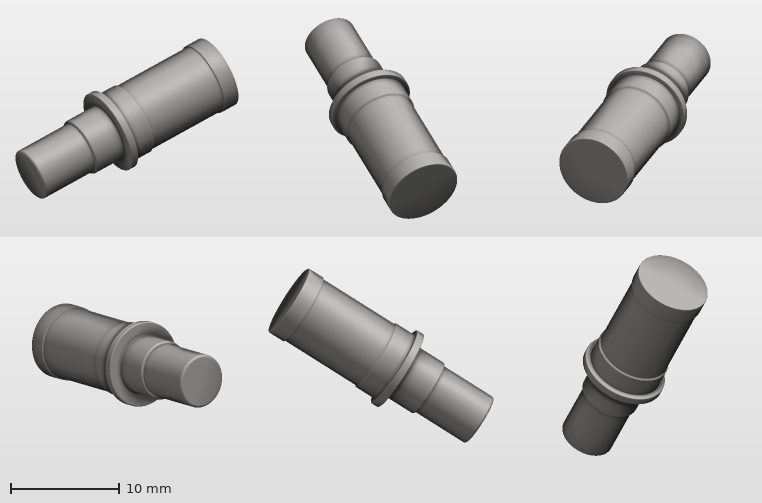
import cadquery as cq
import math


flange_diameter = 7.97
collar_diameter = 6.97
body_diameter = 6.7
shoulder_diameter = 5.5
pin_diameter = 5.0

overall_length = 21.1
flange_thickness = 0.75
shoulder_length = 3.15
pin_length = 5.57
front_collar_length = 2.12
rear_collar_length = 1.6

edge_round = 0.1
pin_tip_round = 0.25
shoulder_round = 0.2
collar_step = (collar_diameter - body_diameter) / 2

tip_y = -shoulder_length - pin_length
rear_y = tip_y + overall_length
front_collar_end = flange_thickness + front_collar_length
rear_collar_start = rear_y - rear_collar_length


def cylinder(diameter, start, end):
    """Solid cylinder about the Y axis between two stations."""
    disc = cq.Workplane("XZ", origin=(0, start, 0)).circle(diameter / 2)
    return disc.extrude(start - end)


def make_flange():
    """Locating flange with both rims slightly rounded."""
    flange = cylinder(flange_diameter, 0, flange_thickness)
    return flange.faces("<Y or >Y").edges().fillet(edge_round)


def make_pin():
    """Front pin with a rounded tip."""
    return cylinder(pin_diameter, tip_y, 0).faces("<Y").edges().fillet(pin_tip_round)


def make_shoulder():
    """Step between pin and flange with a rounded front rim."""
    return cylinder(shoulder_diameter, -shoulder_length, 0).faces("<Y").edges().fillet(shoulder_round)


def make_front_collar():
    """Collar behind the flange, tapering down to the body."""
    collar = cylinder(collar_diameter, flange_thickness, front_collar_end)
    return collar.faces(">Y").edges().chamfer(collar_step)


def make_body():
    """Plain cylinder joining the two collars."""
    return cylinder(body_diameter, flange_thickness, rear_y)


def make_rear_collar():
    """End collar with a rounded rear rim."""
    return cylinder(collar_diameter, rear_collar_start, rear_y).faces(">Y").edges().fillet(edge_round)


def root_ring(diameter, root_y, direction):
    """Concave fillet ring between a cylinder and the step face at root_y.

    direction is +1 when the cylinder leaves the face towards +Y, -1 towards -Y.
    """
    radius = diameter / 2
    tangent_y = root_y + direction * edge_round
    diagonal = edge_round * (1 - math.cos(math.pi / 4))
    profile = (
        cq.Workplane("XY")
        .moveTo(0, root_y)
        .lineTo(radius + edge_round, root_y)
        .threePointArc((radius + diagonal, root_y + direction * diagonal), (radius, tangent_y))
        .lineTo(0, tangent_y)
        .close()
    )
    return profile.revolve(360, (0, 0, 0), (0, 1, 0))


result = (
    make_flange()
    .union(make_pin())
    .union(make_shoulder())
    .union(make_front_collar())
    .union(make_body())
    .union(make_rear_collar())
    .union(root_ring(shoulder_diameter, 0, -1))
    .union(root_ring(collar_diameter, flange_thickness, 1))
    .union(root_ring(body_diameter, rear_collar_start, -1))
)